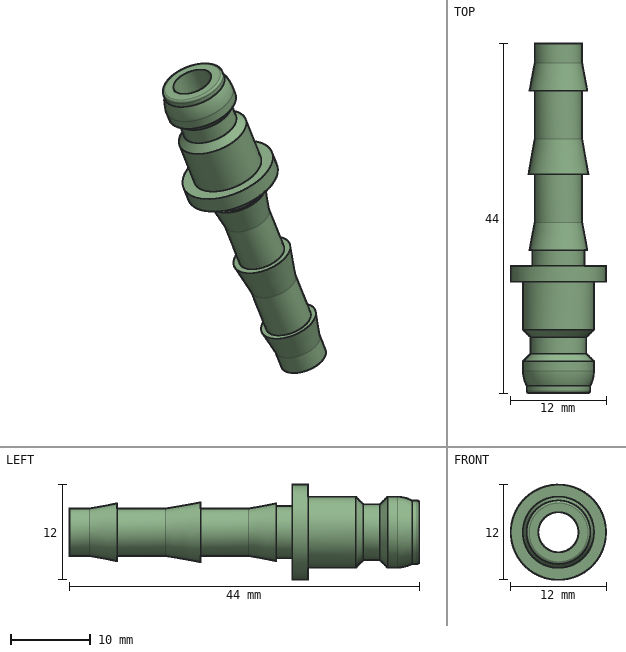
import cadquery as cq
import math

TOTAL_LENGTH = 44.0

BORE_RADIUS = 2.5
FLANGE_RADIUS = 6.005
PLUG_RADIUS = 4.5
NOSE_RADIUS = 4.0
GROOVE_RADIUS = 3.5
NECK_RADIUS = 3.3
STEM_RADIUS = 3.0
END_BARB_RADIUS = 3.65
MIDDLE_BARB_RADIUS = 3.8

NOSE_ROUND = 0.3
NOSE_END = 0.92
COLLAR_START = 2.8
COLLAR_END = 4.0
GROOVE_BEVEL = PLUG_RADIUS - GROOVE_RADIUS
GROOVE_END = 8.0
FLANGE_START = 14.0
FLANGE_THICKNESS = 2.02

BARBS = [
    (18.0, 3.5, END_BARB_RADIUS),
    (27.5, 4.5, MIDDLE_BARB_RADIUS),
    (38.0, 3.5, END_BARB_RADIUS),
]


def centered(station):
    """Y coordinate of a station, with the part centered on the origin."""
    return station - TOTAL_LENGTH / 2


def cylinder(radius, start, end):
    """Solid cylinder along Y between two stations."""
    return (
        cq.Workplane("XZ", origin=(0, centered(start), 0))
        .circle(radius)
        .extrude(start - end)
    )


def plug():
    """Plug with rounded nose and locking groove, up to the flange."""
    curve_length = COLLAR_START - NOSE_END
    curve_drop = PLUG_RADIUS - NOSE_RADIUS
    curve_radius = (curve_length**2 + curve_drop**2) / (2 * curve_drop)
    middle_station = COLLAR_START - curve_length / 2
    middle_drop = curve_radius - math.sqrt(curve_radius**2 - (curve_length / 2) ** 2)
    nose_curve_middle = (PLUG_RADIUS - middle_drop, centered(middle_station))
    return (
        cq.Workplane("XY")
        .moveTo(0, centered(0))
        .lineTo(NOSE_RADIUS - NOSE_ROUND, centered(0))
        .tangentArcPoint((NOSE_RADIUS, centered(NOSE_ROUND)), relative=False)
        .lineTo(NOSE_RADIUS, centered(NOSE_END))
        .threePointArc(nose_curve_middle, (PLUG_RADIUS, centered(COLLAR_START)))
        .lineTo(PLUG_RADIUS, centered(COLLAR_END))
        .lineTo(GROOVE_RADIUS, centered(COLLAR_END + GROOVE_BEVEL))
        .lineTo(GROOVE_RADIUS, centered(GROOVE_END - GROOVE_BEVEL))
        .lineTo(PLUG_RADIUS, centered(GROOVE_END))
        .lineTo(PLUG_RADIUS, centered(FLANGE_START))
        .lineTo(0, centered(FLANGE_START))
        .close()
        .revolve(360, (0, 0), (0, 1))
    )


def barb(shoulder, length, radius):
    """Cone rising from the stem to a sharp shoulder that faces the flange."""
    return (
        cq.Workplane("XY")
        .moveTo(0, centered(shoulder))
        .lineTo(radius, centered(shoulder))
        .lineTo(STEM_RADIUS, centered(shoulder + length))
        .lineTo(0, centered(shoulder + length))
        .close()
        .revolve(360, (0, 0), (0, 1))
    )


flange_end = FLANGE_START + FLANGE_THICKNESS
first_shoulder = BARBS[0][0]

body = plug()
body = body.union(cylinder(FLANGE_RADIUS, FLANGE_START, flange_end))
body = body.union(cylinder(NECK_RADIUS, flange_end, first_shoulder))
body = body.union(cylinder(STEM_RADIUS, first_shoulder, TOTAL_LENGTH))
for shoulder, length, radius in BARBS:
    body = body.union(barb(shoulder, length, radius))

result = body.cut(cylinder(BORE_RADIUS, 0, TOTAL_LENGTH))